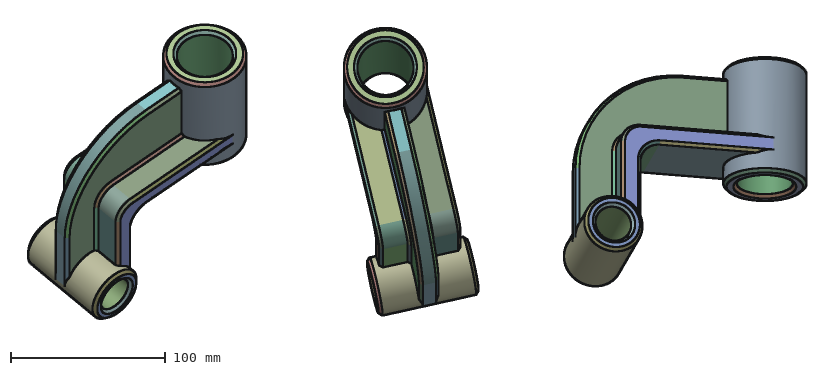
import cadquery as cq

boss_diameter = 54.0
boss_height = 80.5
boss_bore = 36.3
hub_diameter = 38.6
hub_length = 66.48
hub_bore = 23.6
hub_reach = 107.1
hub_drop = 127.6
flange_thickness = 12.8
flange_bend_radius = 12.8
flange_top_drop = 54.5
rib_thickness = 13.1
rib_top_drop = 9.5
rib_bend_radius = 71.0
edge_chamfer = 2.2
root_chamfer = 2.0

hub_radius = hub_diameter / 2
hub_y = -hub_reach
hub_z = boss_height - hub_drop
flange_top_z = boss_height - flange_top_drop
flange_bottom_z = flange_top_z - flange_thickness
flange_inner_y = hub_y + hub_radius
flange_outer_y = flange_inner_y - flange_thickness
rib_top_z = boss_height - rib_top_drop
rib_outer_y = hub_y - hub_radius

TOLERANCE = 1e-3


def elbow(outer_y, outer_z, outer_radius, width):
    """Bent plate from boss axis to hub axis, centred on X = 0, with the flange underside as inner edge."""
    return (
        cq.Workplane("YZ")
        .moveTo(0, outer_z)
        .lineTo(outer_y + outer_radius, outer_z)
        .radiusArc((outer_y, outer_z - outer_radius), -outer_radius)
        .lineTo(outer_y, hub_z)
        .lineTo(flange_inner_y, hub_z)
        .lineTo(flange_inner_y, flange_bottom_z - flange_bend_radius)
        .radiusArc((flange_inner_y + flange_bend_radius, flange_bottom_z), flange_bend_radius)
        .lineTo(0, flange_bottom_z)
        .close()
        .extrude(width / 2, both=True)
    )


def side_edges(plate, width, follows_edge):
    """Edges lying on the side faces X = +-width/2 whose midpoint satisfies follows_edge(y, z)."""
    chosen = []
    for edge in plate.edges().vals():
        box = edge.BoundingBox()
        middle = edge.positionAt(0.5)
        on_side = box.xlen < TOLERANCE and abs(abs(middle.x) - width / 2) < TOLERANCE
        if on_side and follows_edge(middle.y, middle.z):
            chosen.append(edge)
    return plate.newObject(chosen)


def between_ends(y, z):
    """Clear of the end face on the boss axis and the end face on the hub axis."""
    return y < -TOLERANCE and z > hub_z + TOLERANCE


def on_rib_rim(y, z):
    """Along the free outer edge of the rib, beyond the flange."""
    beyond_flange = z > flange_top_z + TOLERANCE or y < flange_outer_y - TOLERANCE
    return beyond_flange and between_ends(y, z)


def on_rib_root(y, z):
    """Along the corner where the rib side meets the outer face of the flange."""
    inside_rim = z < rib_top_z - edge_chamfer - TOLERANCE and y > flange_outer_y - TOLERANCE
    return inside_rim and between_ends(y, z)


def make_arm():
    """Flange and rib joined, with chamfered edges and a sloped strip along the rib root."""
    flange = elbow(flange_outer_y, flange_top_z, flange_bend_radius, boss_diameter)
    flange = side_edges(flange, boss_diameter, between_ends).chamfer(edge_chamfer)

    rib = elbow(rib_outer_y, rib_top_z, rib_bend_radius, rib_thickness)
    rib = side_edges(rib, rib_thickness, on_rib_rim).chamfer(edge_chamfer)

    arm = flange.union(rib)
    return side_edges(arm, rib_thickness, on_rib_root).chamfer(root_chamfer)


def cylinder(plane, diameter, length):
    """Cylinder starting on the given plane, along its normal."""
    return cq.Workplane(plane).circle(diameter / 2).extrude(length)


def bore_cutter(plane, bore, length):
    """Bore with a conical mouth at each end."""
    mouth_radius = bore / 2 + edge_chamfer
    profile = (
        cq.Workplane("XZ")
        .polyline([
            (0, 0),
            (mouth_radius, 0),
            (bore / 2, edge_chamfer),
            (bore / 2, length - edge_chamfer),
            (mouth_radius, length),
            (0, length),
        ])
        .close()
    )
    cutter = profile.revolve(360, (0, 0, 0), (0, 1, 0))
    return cq.Workplane(cutter.val().moved(cq.Location(plane)))


def add_tube(body, plane, diameter, bore, length):
    """Add a chamfered cylinder to the body and bore it through, with chamfered bore mouths."""
    body = body.union(cylinder(plane, diameter, length).edges().chamfer(edge_chamfer))
    return body.cut(bore_cutter(plane, bore, length))


boss_plane = cq.Plane.XY()
hub_plane = cq.Plane(origin=(-hub_length / 2, hub_y, hub_z), xDir=(0, 1, 0), normal=(1, 0, 0))

part = make_arm()
part = add_tube(part, boss_plane, boss_diameter, boss_bore, boss_height)
part = add_tube(part, hub_plane, hub_diameter, hub_bore, hub_length)

result = part